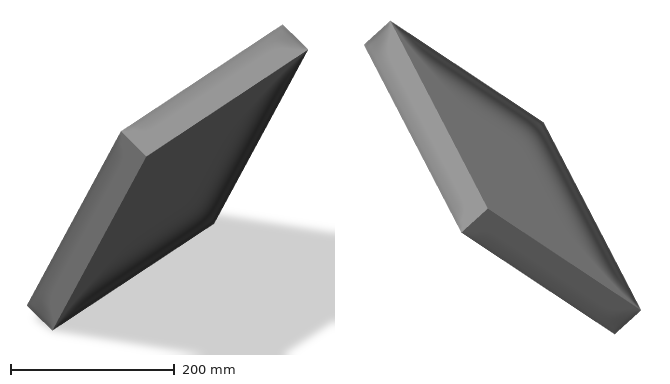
import cadquery as cq
import math

overall_height = 342.5
plate_width = 305.0
plate_thickness = 45.2
lean_angle = 25.0

lean = math.radians(lean_angle)
plate_length = (overall_height - plate_thickness * math.sin(lean)) / math.cos(lean)

upright_plate = cq.Workplane("XY").box(plate_thickness, plate_width, plate_length)
result = upright_plate.rotate((0, 0, 0), (0, 1, 0), lean_angle)